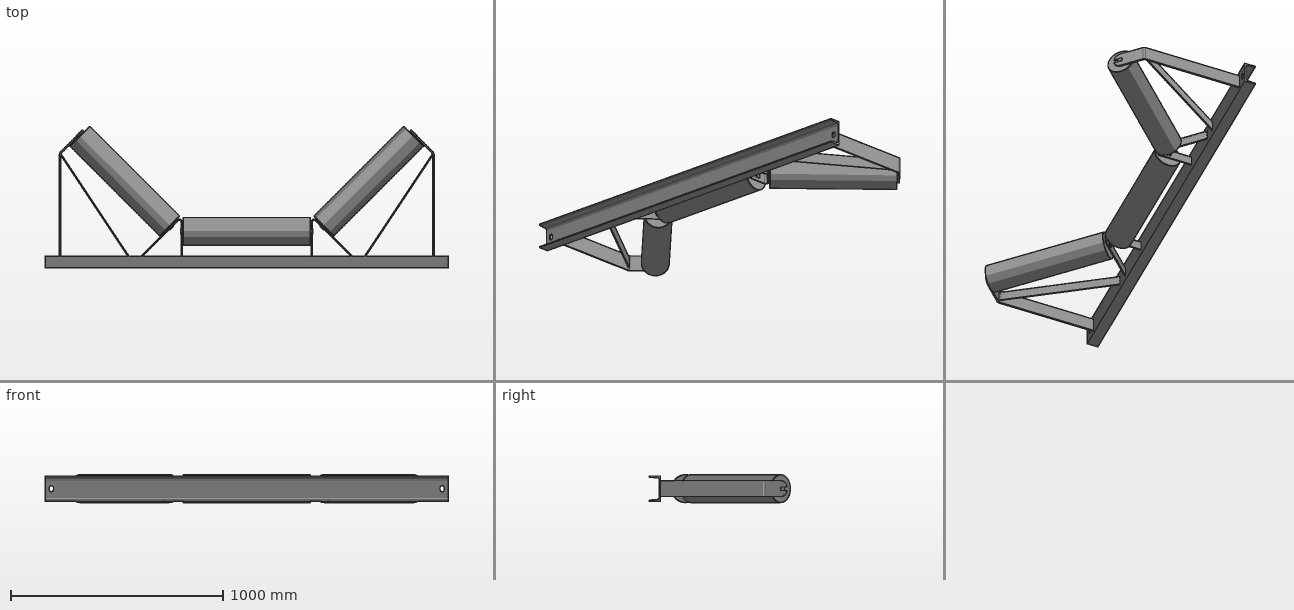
import cadquery as cq
import math

BEAM_LENGTH = 1900.0
BEAM_HEIGHT = 120.0
FLANGE_WIDTH = 55.0
WEB_THICKNESS = 7.0
FLANGE_THICKNESS = 9.0
FLANGE_TAPER = 0.08
ROOT_RADIUS = 9.0
TIP_RADIUS = 4.5
MOUNT_SLOT_WIDTH = 18.0
MOUNT_SLOT_HEIGHT = 28.0
MOUNT_SLOT_FROM_END = 29.0

ROLLER_DIAMETER = 133.0
ROLLER_LENGTH = 600.0
TROUGH_ANGLE = 45.0
DRUM_CHAMFER = 2.0
SHAFT_DIAMETER = 25.0
SHAFT_FLATS = 18.0
SHAFT_PROTRUSION = 1.0
MIDDLE_ROLLER_Y = 117.0
OVERALL_TOP_Y = 611.79
SIDE_ROLLER_LOW_X = -363.0

ROLLER_GAP = 4.0
BEND_RADIUS = 8.0
OUTER_BAR_THICKNESS = 8.0
OUTER_BAR_WIDTH = 75.0
OUTER_BAR_TIP = 31.0
OUTER_POST_X = -884.0
INNER_BAR_THICKNESS = 6.0
INNER_BAR_WIDTH = 50.0
BRACE_THICKNESS = 6.0
BRACE_WIDTH = 50.0
BRACE_FOOT_X = -558.0

SIN = math.sin(math.radians(TROUGH_ANGLE))
COS = math.cos(math.radians(TROUGH_ANGLE))
ROLLER_RADIUS = ROLLER_DIAMETER / 2
HALF_ROLLER = ROLLER_LENGTH / 2
BAR_FACE = HALF_ROLLER + ROLLER_GAP
OUTER_BAR_BACK = BAR_FACE + OUTER_BAR_THICKNESS
INNER_BAR_BACK = BAR_FACE + INNER_BAR_THICKNESS
HALF_SHAFT = OUTER_BAR_BACK + SHAFT_PROTRUSION
HIGH_END_Y = OVERALL_TOP_Y - (ROLLER_RADIUS - DRUM_CHAMFER) * COS
SIDE_CENTER = (
    SIDE_ROLLER_LOW_X - HALF_ROLLER * COS,
    HIGH_END_Y - HALF_ROLLER * SIN,
)


def on_side_roller(along, across=0.0):
    """Point at a distance along the left roller's axis (downhill) and across it (upward)."""
    return (
        SIDE_CENTER[0] + along * COS + across * SIN,
        SIDE_CENTER[1] - along * SIN + across * COS,
    )


def on_slope_at_x(along, x):
    """Point at a given X on the line square to the left roller's axis."""
    start = on_side_roller(along)
    return (x, start[1] + (x - start[0]) * COS / SIN)


def on_slope_at_base(along):
    """Point on Y = 0 of the line square to the left roller's axis."""
    start = on_side_roller(along)
    return (start[0] - start[1] * SIN / COS, 0.0)


def mirrored(body):
    return body.mirror("YZ")


def make_beam():
    half = BEAM_HEIGHT / 2
    half_length = BEAM_LENGTH / 2
    taper_drop = FLANGE_TAPER * FLANGE_WIDTH / 2
    tip_z = half - FLANGE_THICKNESS + taper_drop
    root_z = tip_z - FLANGE_TAPER * (FLANGE_WIDTH - WEB_THICKNESS)
    beam = (
        cq.Workplane("YZ", origin=(-half_length, 0, 0))
        .polyline([
            (0, -half),
            (0, half),
            (-FLANGE_WIDTH, half),
            (-FLANGE_WIDTH, tip_z),
            (-WEB_THICKNESS, root_z),
            (-WEB_THICKNESS, -root_z),
            (-FLANGE_WIDTH, -tip_z),
            (-FLANGE_WIDTH, -half),
        ])
        .close()
        .extrude(BEAM_LENGTH)
    )
    for z in (root_z, -root_z):
        beam = beam.edges(cq.NearestToPointSelector((0, -WEB_THICKNESS, z))).fillet(ROOT_RADIUS)
    for z in (tip_z, -tip_z):
        beam = beam.edges(cq.NearestToPointSelector((0, -FLANGE_WIDTH, z))).fillet(TIP_RADIUS)
    slot_x = half_length - MOUNT_SLOT_FROM_END
    slots = (
        cq.Workplane("XZ")
        .pushPoints([(-slot_x, 0), (slot_x, 0)])
        .slot2D(MOUNT_SLOT_HEIGHT, MOUNT_SLOT_WIDTH, 90)
        .extrude(WEB_THICKNESS)
    )
    return beam.cut(slots)


def place_as_left_roller(body):
    return body.rotate((0, 0, 0), (0, 0, 1), -TROUGH_ANGLE).translate((*SIDE_CENTER, 0))


def place_as_middle_roller(body):
    return body.translate((0, MIDDLE_ROLLER_Y, 0))


def make_rod(diameter, length):
    """Round rod along X, centred on the origin."""
    return cq.Workplane("YZ", origin=(-length / 2, 0, 0)).circle(diameter / 2).extrude(length)


def make_shaft():
    """Flat-sided shaft along X, centred on the origin, reaching through the bars at both ends."""
    length = 2 * HALF_SHAFT
    shaft = make_rod(SHAFT_DIAMETER, length)
    return shaft.intersect(cq.Workplane("XY").box(length, SHAFT_DIAMETER, SHAFT_FLATS))


def make_roller():
    drum = make_rod(ROLLER_DIAMETER, ROLLER_LENGTH).faces("<X or >X").chamfer(DRUM_CHAMFER)
    return drum.union(make_shaft())


def make_flat(outline, width):
    """Plan outline extruded to a width centred on Z = 0."""
    return cq.Workplane("XY", origin=(0, 0, -width / 2)).polyline(outline).close().extrude(width)


def make_bent_bar(outline, width, thickness, outside_corner, inside_corner):
    bar = make_flat(outline, width)
    bar = bar.edges(cq.NearestToPointSelector((*inside_corner, 0))).fillet(BEND_RADIUS)
    return bar.edges(cq.NearestToPointSelector((*outside_corner, 0))).fillet(BEND_RADIUS + thickness)


def make_outer_bracket():
    """Left post, bent over to carry the high end of the left roller in an open notch."""
    inner_x = OUTER_POST_X + OUTER_BAR_THICKNESS
    round_center = OUTER_BAR_TIP - OUTER_BAR_WIDTH / 2
    mid_bar = -(BAR_FACE + OUTER_BAR_BACK) / 2
    outside = on_slope_at_x(-OUTER_BAR_BACK, OUTER_POST_X)
    inside = on_slope_at_x(-BAR_FACE, inner_x)
    outline = [
        (OUTER_POST_X, 0),
        outside,
        on_side_roller(-OUTER_BAR_BACK, round_center),
        on_side_roller(-BAR_FACE, round_center),
        inside,
        (inner_x, 0),
    ]
    bracket = make_bent_bar(outline, OUTER_BAR_WIDTH, OUTER_BAR_THICKNESS, outside, inside)
    round_end = make_rod(OUTER_BAR_WIDTH, OUTER_BAR_THICKNESS).translate((mid_bar, round_center, 0))
    notch = (
        cq.Workplane("XY")
        .box(OUTER_BAR_THICKNESS, OUTER_BAR_TIP, SHAFT_FLATS)
        .translate((mid_bar, OUTER_BAR_TIP / 2, 0))
    )
    bracket = bracket.union(place_as_left_roller(round_end))
    return bracket.cut(place_as_left_roller(notch.union(make_shaft())))


def make_inner_bracket():
    """Left inner post, bent back down to the beam to carry the low end of the left roller."""
    outside = on_slope_at_x(BAR_FACE, -BAR_FACE)
    inside = on_slope_at_x(INNER_BAR_BACK, -INNER_BAR_BACK)
    outline = [
        on_slope_at_base(BAR_FACE),
        outside,
        (-BAR_FACE, 0),
        (-INNER_BAR_BACK, 0),
        inside,
        on_slope_at_base(INNER_BAR_BACK),
    ]
    bracket = make_bent_bar(outline, INNER_BAR_WIDTH, INNER_BAR_THICKNESS, outside, inside)
    bracket = bracket.cut(place_as_left_roller(make_shaft()))
    return bracket.cut(place_as_middle_roller(make_shaft()))


def make_brace(bracket):
    """Slanted bar from the beam up to the bend of the left outer bracket, trimmed to its face."""
    top_x = OUTER_POST_X + OUTER_BAR_THICKNESS / 2
    top = on_slope_at_x(-(BAR_FACE + OUTER_BAR_BACK) / 2, top_x)
    slant = math.atan2(top[1], BRACE_FOOT_X - top[0])
    half_foot = BRACE_THICKNESS / 2 / math.sin(slant)
    across_x = BRACE_THICKNESS / 2 * math.sin(slant)
    across_y = BRACE_THICKNESS / 2 * math.cos(slant)
    outline = [
        (BRACE_FOOT_X - half_foot, 0),
        (top[0] - across_x, top[1] - across_y),
        (top[0] + across_x, top[1] + across_y),
        (BRACE_FOOT_X + half_foot, 0),
    ]
    return make_flat(outline, BRACE_WIDTH).cut(bracket)


beam = make_beam()
middle_roller = place_as_middle_roller(make_roller())
side_roller = place_as_left_roller(make_roller())
outer_bracket = make_outer_bracket()
inner_bracket = make_inner_bracket()
brace = make_brace(outer_bracket)

bodies = [beam, middle_roller]
for body in (side_roller, outer_bracket, inner_bracket, brace):
    bodies += [body, mirrored(body)]

result = cq.Compound.makeCompound([body.solids().val() for body in bodies])